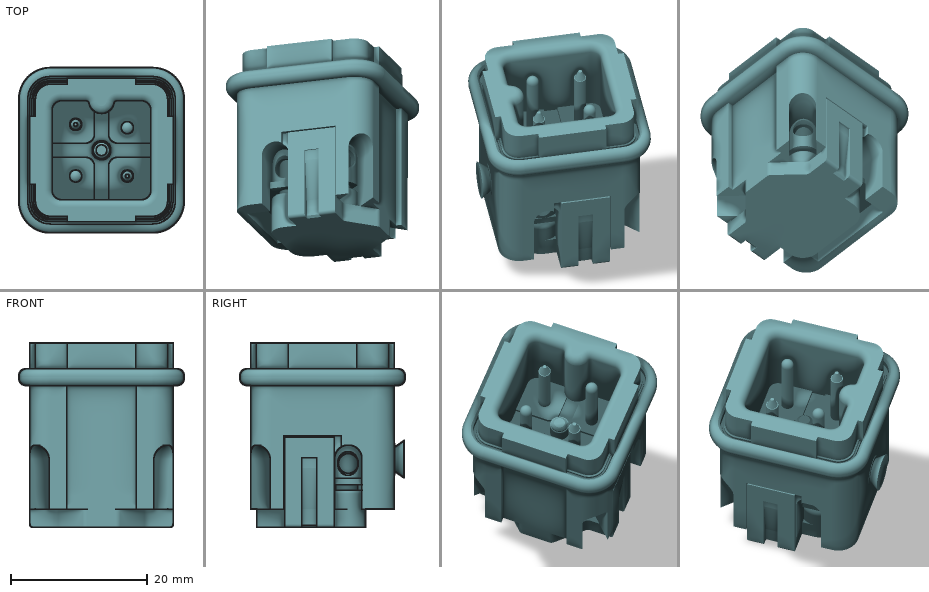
import cadquery as cq
import math

total_height = 27.1
body_bottom = 2.7
seal_bottom = 20.85
seal_height = 2.5
seal_top = seal_bottom + seal_height
cavity_floor = 15.72

corner_center = 7.5
body_half = 10.55
rim_half = 9.7
seal_width = 24.3
seal_half = seal_width / 2
seal_round = 1.08
seal_inner_half = 10.85
seal_inner_chamfer = 0.33
gasket_groove_half = seal_inner_half - seal_inner_chamfer
gasket_groove_floor = 22.1
gasket_step_halves = (10.22, 9.97)
gasket_step_height = 0.33
rim_panel_width = 10.03
front_panel_width = 10.25
front_panel_y = -9.67

cavity_half = 7.25
cavity_corner = 1.38
lip_round = 1.08
key_radius = 1.87
key_corner = 0.5
floor_groove_width = 2.05
floor_groove_corner = 1.35
floor_groove_depth = 0.4

pin_spacing = 3.8
offset_pin_y = 3.3
pin_diameter = 1.8
pin_top = 25.75
point_length = 1.3
point_base_diameter = 1.6
point_tip_diameter = 0.55
center_post_diameter = 2.8
center_post_cap_diameter = 2.4
center_post_cap_height = 0.6
center_post_tip = 1.6
center_post_top = 17.89

terminal_diameter = 5.5
terminal_x = 4.06
terminal_front_y = -4.06
terminal_rear_y = 3.58
contact_diameter = 3.2
neck_bottom = 5.5
neck_top = 6.25
collar_round = 0.51
slot_radius = 2.0
slot_arch_z = 10.1
side_slot_y = 3.8
screw_hole_diameter = 2.9
screw_hole_rim = 3.5
side_hole_z = 9.4
guard_plate_height = 0.98
leg_inner_x = 6.88
rear_pocket_y = 9.35

foot_half = terminal_x + terminal_diameter / 2
foot_rear_y = terminal_rear_y + terminal_diameter / 2
foot_nose_half = 2.11
foot_shoulder_y = -5.55
foot_blend = 0.87

tongue_rear_y = 1.7
tongue_front_y = foot_shoulder_y
tongue_top = 13.28
tongue_round = 0.5
recess_depth = 0.8
recess_rear_y = 2.8
recess_front_y = -5.7
recess_top = 13.5
window_rear_y = -0.87
window_front_y = -3.04
window_top = 10.25
ramp_top = 8.75
ramp_top_depth = 0.22
ramp_bottom_depth = 0.95
window_foot_chamfer = 0.33

earth_screw_z = 10.03
washer_diameter = 4.6
washer_thickness = 0.08
earth_neck_diameter = 3.5
earth_head_diameter = 5.5
earth_head_y = 11.98


def block(x_range, y_range, z_range):
    """Box given by its limits along each axis."""
    (x0, x1), (y0, y1), (z0, z1) = x_range, y_range, z_range
    return cq.Workplane("XY").box(x1 - x0, y1 - y0, z1 - z0, centered=False).translate((x0, y0, z0))


def rod(diameter, x, y, bottom, top):
    """Upright cylinder."""
    return cq.Workplane("XY", origin=(x, y, bottom)).circle(diameter / 2).extrude(top - bottom)


def rounded_prism(half, bottom, top):
    """Square prism whose corners are centred on the shared corner centres."""
    prism = cq.Workplane("XY", origin=(0, 0, bottom)).rect(2 * half, 2 * half).extrude(top - bottom)
    return prism.edges("|Z").fillet(half - corner_center)


def both_sides(shape):
    """The shape together with its mirror image in X."""
    return shape.union(shape.mirror("YZ"))


def make_seal():
    seal = rounded_prism(seal_half, seal_bottom, seal_top)
    seal = seal.faces("<Z or >Z").edges().fillet(seal_round)
    opening = rounded_prism(gasket_groove_half, gasket_groove_floor, seal_top)
    seal = seal.cut(opening)
    top_wires = seal.faces(">Z").wires().vals()
    inner_wire = min(top_wires, key=lambda wire: wire.Length())
    seal = seal.newObject(inner_wire.Edges()).chamfer(seal_inner_chamfer)
    step_top = gasket_groove_floor
    for half in gasket_step_halves:
        step_top += gasket_step_height
        seal = seal.union(rounded_prism(half, gasket_groove_floor, step_top))
    return seal


def make_rim():
    rim = rounded_prism(rim_half, seal_bottom, total_height)
    height = total_height - seal_bottom
    for x_size, y_size in ((rim_panel_width, 2 * body_half), (2 * body_half, rim_panel_width)):
        panel = cq.Workplane("XY", origin=(0, 0, seal_bottom)).rect(x_size, y_size).extrude(height)
        rim = rim.union(panel)
    return rim


def cut_cavity(part):
    depth = total_height - cavity_floor
    floor = cq.Workplane("XY", origin=(0, 0, cavity_floor))
    cavity = floor.rect(2 * cavity_half, 2 * cavity_half).extrude(depth)
    cavity = cavity.edges("|Z").fillet(cavity_corner)
    cavity = cavity.cut(rod(2 * key_radius, 0, cavity_half, cavity_floor, total_height))
    margin = 0.14
    key_edges = cq.selectors.BoxSelector(
        (-key_radius - margin, cavity_half - margin, cavity_floor),
        (key_radius + margin, cavity_half + margin, total_height),
    )
    cavity = cavity.edges("|Z").edges(key_edges).fillet(key_corner)
    part = part.cut(cavity)
    lip = cq.selectors.BoxSelector(
        (-cavity_half - margin, -cavity_half - margin, total_height - margin),
        (cavity_half + margin, cavity_half + margin, total_height + margin),
    )
    part = part.edges(lip).fillet(lip_round)

    groove_bottom = cavity_floor - floor_groove_depth
    groove = cq.Workplane("XY", origin=(0, 0, groove_bottom))
    cross = groove.rect(2 * cavity_half, floor_groove_width).extrude(floor_groove_depth)
    cross = cross.union(groove.rect(floor_groove_width, 2 * cavity_half).extrude(floor_groove_depth))
    inner_corners = cq.selectors.BoxSelector(
        (-floor_groove_width, -floor_groove_width, groove_bottom),
        (floor_groove_width, floor_groove_width, cavity_floor),
    )
    cross = cross.edges("|Z").edges(inner_corners).fillet(floor_groove_corner)
    return part.cut(cross)


def make_pins():
    pin_bottom = cavity_floor - floor_groove_depth
    cap_chamfer = (center_post_cap_diameter - center_post_tip) / 2
    pins = rod(center_post_cap_diameter, 0, 0, pin_bottom, center_post_top).faces(">Z").chamfer(cap_chamfer)
    pins = pins.union(rod(center_post_diameter, 0, 0, pin_bottom, center_post_top - center_post_cap_height))

    dome = pin_diameter / 2
    for x, y in ((pin_spacing, offset_pin_y), (-pin_spacing, -pin_spacing)):
        pins = pins.union(rod(pin_diameter, x, y, pin_bottom, pin_top - dome))
        pins = pins.union(cq.Workplane("XY", origin=(x, y, pin_top - dome)).sphere(dome))

    taper = (point_base_diameter - point_tip_diameter) / 2
    for x, y in ((-pin_spacing, pin_spacing), (pin_spacing, -pin_spacing)):
        point = rod(point_base_diameter, x, y, pin_bottom, pin_top).faces(">Z").chamfer(point_length, taper)
        pins = pins.union(point)
        pins = pins.union(rod(pin_diameter, x, y, pin_bottom, pin_top - point_length))
    return pins


def access_slot(length):
    """Arched slot along -X from the origin, open at the bottom of the body."""
    arch = (
        cq.Workplane("YZ")
        .moveTo(-slot_radius, 0)
        .lineTo(-slot_radius, slot_arch_z)
        .threePointArc((0, slot_arch_z + slot_radius), (slot_radius, slot_arch_z))
        .lineTo(slot_radius, 0)
        .close()
    )
    return arch.extrude(-length)


def make_terminal(y, hole_y, hole_z, angle):
    """Screw terminal on the -X side, with its screw hole at the given angle from -X."""
    top = slot_arch_z + 2 * slot_radius
    collar = rod(terminal_diameter, -terminal_x, y, 0, neck_bottom).faces(">Z").edges().fillet(collar_round)
    sleeve = rod(terminal_diameter, -terminal_x, y, neck_top, top)
    mouth = cq.Workplane("YZ", origin=(-terminal_diameter / 2, 0, hole_z))
    rim_depth = (screw_hole_rim - screw_hole_diameter) / 2
    hole = mouth.circle(screw_hole_diameter / 2).extrude(terminal_diameter / 2)
    countersink = mouth.circle(screw_hole_rim / 2).workplane(offset=2 * rim_depth)
    countersink = countersink.circle(screw_hole_diameter / 2).loft()
    hole = hole.union(countersink).rotate((0, 0, 0), (0, 0, 1), angle)
    sleeve = sleeve.cut(hole.translate((-terminal_x, hole_y, 0)))
    contact = rod(contact_diameter, -terminal_x, y, 0, top)
    return collar.union(sleeve).union(contact)


def add_terminals(part):
    reach = 2 * body_half
    corner_slot = access_slot(reach).rotate((0, 0, 0), (0, 0, 1), 45)
    corner_slot = corner_slot.translate((-terminal_x, terminal_front_y, 0))
    side_slot = access_slot(reach).translate((-terminal_x, side_slot_y, 0))
    part = part.cut(both_sides(corner_slot)).cut(both_sides(side_slot))

    slot_rear_y = side_slot_y + slot_radius
    pocket = block((-leg_inner_x, leg_inner_x), (slot_rear_y, rear_pocket_y), (body_bottom, neck_top))
    part = part.cut(pocket)

    guard_plate = block(
        (-foot_half, -terminal_x),
        (side_slot_y - slot_radius, slot_rear_y),
        (neck_top, neck_top + guard_plate_height),
    )
    part = part.union(both_sides(guard_plate))
    part = part.union(both_sides(make_terminal(terminal_front_y, terminal_front_y, slot_arch_z, 45)))
    return part.union(both_sides(make_terminal(terminal_rear_y, side_slot_y, side_hole_z, 0)))


def make_foot():
    blend_run = foot_blend * math.sin(math.pi / 4)
    blend_drop = foot_blend - blend_run
    half_run = foot_blend * math.sin(math.pi / 8)
    half_drop = foot_blend * (1 - math.cos(math.pi / 8))
    slant_start = (foot_nose_half + blend_run, front_panel_y + blend_drop)
    slant = foot_shoulder_y - front_panel_y - 2 * blend_drop
    slant_end = (slant_start[0] + slant, slant_start[1] + slant)
    shoulder_x = slant_end[0] + blend_run
    outline = (
        cq.Workplane("XY")
        .moveTo(0, front_panel_y)
        .lineTo(foot_nose_half, front_panel_y)
        .threePointArc((foot_nose_half + half_run, front_panel_y + half_drop), slant_start)
        .lineTo(*slant_end)
        .threePointArc((shoulder_x - half_run, foot_shoulder_y - half_drop), (shoulder_x, foot_shoulder_y))
        .lineTo(body_half, foot_shoulder_y)
        .lineTo(body_half, tongue_rear_y)
        .lineTo(foot_half, tongue_rear_y)
        .lineTo(foot_half, terminal_rear_y)
        .radiusArc((terminal_x, foot_rear_y), -terminal_diameter / 2)
        .lineTo(0, foot_rear_y)
        .close()
    )
    return both_sides(outline.extrude(body_bottom))


def add_tongues(part):
    outer_x = -body_half
    floor_x = outer_x + recess_depth
    recess = block((outer_x, floor_x), (recess_front_y, recess_rear_y), (body_bottom, recess_top))
    tongue = block((outer_x, floor_x), (tongue_front_y, tongue_rear_y), (0, tongue_top))
    window = (
        cq.Workplane("XZ", origin=(0, window_rear_y, 0))
        .moveTo(outer_x, window_top)
        .lineTo(outer_x + ramp_top_depth, window_top)
        .lineTo(outer_x + ramp_top_depth, ramp_top)
        .lineTo(outer_x + ramp_bottom_depth, body_bottom)
        .lineTo(outer_x + ramp_bottom_depth, window_foot_chamfer)
        .lineTo(outer_x + ramp_bottom_depth + window_foot_chamfer, 0)
        .lineTo(outer_x, 0)
        .close()
        .extrude(window_rear_y - window_front_y)
    )
    part = part.cut(both_sides(recess)).union(both_sides(tongue)).union(make_foot())
    part = part.faces("<Z").edges("<X or >X").fillet(tongue_round)
    return part.cut(both_sides(window))


def make_earth_screw():
    face = cq.Workplane("XZ", origin=(0, body_half, earth_screw_z))
    washer = face.circle(washer_diameter / 2).extrude(-washer_thickness)
    head = face.circle(earth_neck_diameter / 2).workplane(offset=body_half - earth_head_y)
    return washer.union(head.circle(earth_head_diameter / 2).loft())


body = rounded_prism(body_half, body_bottom, seal_bottom)
front_recess = block(
    (-front_panel_width / 2, front_panel_width / 2),
    (-body_half, front_panel_y),
    (body_bottom, seal_bottom),
)
housing = body.cut(front_recess).union(make_seal()).union(make_rim())
housing = cut_cavity(housing).union(make_pins())
housing = add_terminals(housing)
housing = add_tongues(housing)
result = housing.union(make_earth_screw())